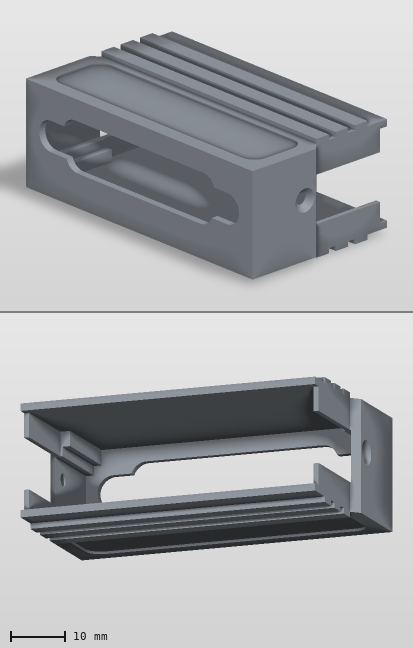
import cadquery as cq

block_width = 60.7
block_height = 21.4
block_depth = 17.35
total_depth = 34.95
rear_chamfer = 1.6
arm_width = block_width - 2 * rear_chamfer

rib_height = 1.05
rib_length = 3.1
rib_pitch = 4.8
rib_count = 3

front_wall = 1.45
side_wall = 1.4
arm_wall = 1.0
skin = 1.4
step_width = 1.5
step_rise = 1.75
gap_top = 4.7
gap_bottom = -5.1
lip_length = 1.8

window_z = 1.3
slot_length = 53.4
slot_height = 6.2
opening_height = 10.25
corner_radius = 3.1
top_corner_x = 17.2
bottom_corner_x = 16.5

hole_diameter = 2.5
countersink_diameter = 4.7
hole_y = 13.05

recess_margin = 3.05
recess_depth = 0.5
recess_length = 12.75
recess_radius = 3.05

half_height = block_height / 2
interior_z = half_height - skin
inner_half_width = block_width / 2 - side_wall


def box(width, y_start, y_end, z_start, z_end):
    """Box centred on X, spanning the given Y and Z ranges."""
    return cq.Workplane("XY").box(
        width, y_end - y_start, z_end - z_start, centered=(True, False, False)
    ).translate((0, y_start, z_start))


def outer_body():
    block = box(block_width, 0, block_depth, -half_height, half_height)
    block = block.edges("|Z and >Y").chamfer(rear_chamfer)
    body = block.union(box(arm_width, front_wall, total_depth, -half_height, half_height))
    for index in range(rib_count):
        start = block_depth + index * rib_pitch
        rib_top = half_height + rib_height
        body = body.union(box(arm_width, start, start + rib_length, -rib_top, rib_top))
    return body


def cavity():
    """Interior whose side walls step inwards towards the floor and the ceiling."""
    space = box(2 * inner_half_width, front_wall, block_depth, gap_bottom, gap_top)
    middle_width = 2 * (inner_half_width - step_width)
    space = space.union(
        box(middle_width, front_wall, block_depth, gap_bottom - step_rise, gap_top + step_rise)
    )
    core_width = middle_width - 2 * step_width
    space = space.union(box(core_width, front_wall, block_depth, -interior_z, interior_z))
    between_arms = box(
        arm_width - 2 * arm_wall, block_depth, total_depth, -interior_z, interior_z
    )
    return space.union(between_arms)


def side_gap():
    """Full-width opening between the arms, taller behind their side walls to leave thin lips."""
    gap = box(block_width, block_depth, total_depth, gap_bottom, gap_top)
    lip_start = total_depth - lip_length
    return gap.union(box(block_width, lip_start, total_depth, -interior_z, interior_z))


def window():
    wall_plane = cq.Workplane("XZ", origin=(0, 0, window_z))
    slot = wall_plane.slot2D(slot_length, slot_height).extrude(-front_wall)
    corner_z = opening_height / 2 - corner_radius
    corner_centers = [
        (-bottom_corner_x, -corner_z),
        (bottom_corner_x, -corner_z),
        (top_corner_x, corner_z),
        (-top_corner_x, corner_z),
    ]
    opening = wall_plane.polyline(corner_centers).close().offset2D(corner_radius, "arc")
    return slot.union(opening.extrude(-front_wall))


def side_holes():
    half_width = block_width / 2
    sink_radius = countersink_diameter / 2
    hole_radius = hole_diameter / 2
    holes = cq.Workplane("YZ", origin=(-half_width, hole_y, window_z))
    holes = holes.circle(hole_radius).extrude(block_width)
    sink_depth = sink_radius - hole_radius
    for side in (-1, 1):
        cone = cq.Solid.makeCone(
            sink_radius,
            hole_radius,
            sink_depth,
            cq.Vector(side * half_width, hole_y, window_z),
            cq.Vector(-side, 0, 0),
        )
        holes = holes.union(cq.Workplane(cone))
    return holes


def label_recess(z_start):
    recess = box(
        block_width - 2 * recess_margin,
        recess_margin,
        recess_margin + recess_length,
        z_start,
        z_start + recess_depth,
    )
    return recess.edges("|Z").fillet(recess_radius)


result = outer_body().cut(cavity()).cut(side_gap()).cut(window()).cut(side_holes())
for recess_floor in (half_height - recess_depth, -half_height):
    result = result.cut(label_recess(recess_floor))

result = result.translate((0, -total_depth / 2, 0))